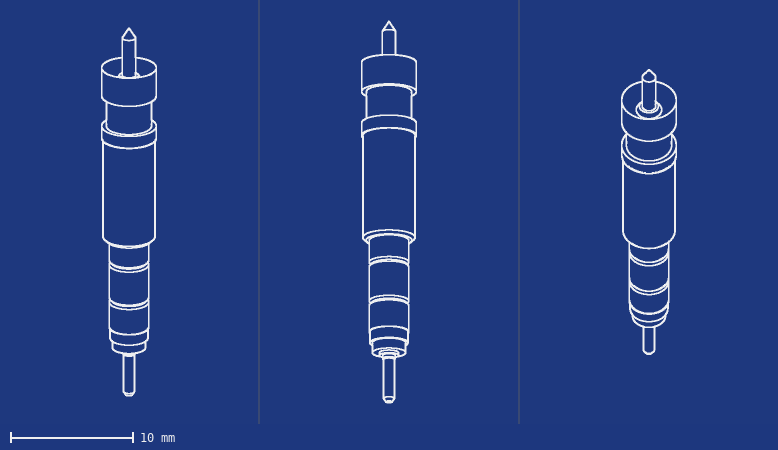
import cadquery as cq

head_radius = 2.25
neck_radius = 1.85
body_radius = 2.15
barrel_radius = 1.62
first_step_radius = 1.55
second_step_radius = 1.35
contact_pin_radius = 0.55
tail_pin_radius = 0.45
tail_end_radius = 0.25
tail_collar_radius = 0.78
tail_neck_radius = 0.52

total_height = 32.5
contact_point_height = 0.88
head_top = 29.0
head_bottom = 26.5
collar_top = 23.82
collar_bottom = 22.75
body_bottom = 13.78
groove_centres = (11.73, 8.42)
barrel_bottom = 5.98
first_step_bottom = 5.05
second_step_bottom = 4.2
tail_collar_bottom = 3.95
tail_neck_bottom = 3.7

body_chamfer = 0.25
tail_chamfer_height = 0.3
groove_depth = 0.2
neck_chamfer_height = 0.1

cup_floor_radius = 1.05
cup_depth = 1.1
boss_top_radius = 0.78
boss_height = 0.42
cup_floor = head_top - cup_depth
boss_top = cup_floor + boss_height


def groove_points(centre):
    """Profile points of one V groove in the barrel, from top to bottom."""
    return [
        (barrel_radius, centre + groove_depth),
        (barrel_radius - groove_depth, centre),
        (barrel_radius, centre - groove_depth),
    ]


contact_end = [
    (0, total_height),
    (contact_pin_radius, total_height - contact_point_height),
    (contact_pin_radius, boss_top),
    (boss_top_radius, boss_top),
    (cup_floor_radius, cup_floor),
]
head_and_body = [
    (head_radius, head_top),
    (head_radius, head_bottom),
    (neck_radius, head_bottom),
    (neck_radius, collar_top),
    (head_radius, collar_top),
    (head_radius, collar_bottom),
    (body_radius, collar_bottom),
    (body_radius, body_bottom + body_chamfer),
    (body_radius - body_chamfer, body_bottom),
]
barrel = [(barrel_radius, body_bottom)]
for groove_centre in groove_centres:
    barrel += groove_points(groove_centre)
barrel.append((barrel_radius, barrel_bottom))
steps = [
    (first_step_radius, barrel_bottom),
    (first_step_radius, first_step_bottom),
    (second_step_radius, first_step_bottom),
    (second_step_radius, second_step_bottom),
]
tail_end = [
    (tail_collar_radius, second_step_bottom),
    (tail_collar_radius, tail_collar_bottom),
    (tail_neck_radius, tail_collar_bottom),
    (tail_neck_radius, tail_neck_bottom),
    (tail_pin_radius, tail_neck_bottom - neck_chamfer_height),
    (tail_pin_radius, tail_chamfer_height),
    (tail_end_radius, 0),
    (0, 0),
]

profile = contact_end + head_and_body + barrel + steps + tail_end
result = cq.Workplane("XZ").polyline(profile).close().revolve(360, (0, 0), (0, 1))